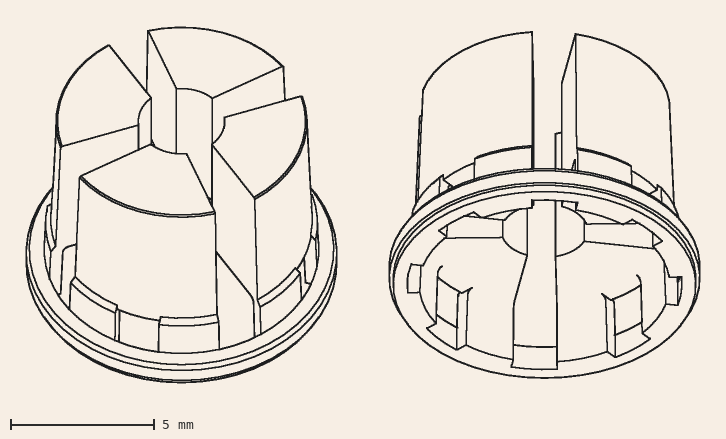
import cadquery as cq
import math

height = 7.8
rim_height = 0.99
rim_step_height = 0.28
roof_height = 2.38
shoulder_height = 2.6

rim_radius = 5.4
rim_step_radius = 5.25
rim_bore_radius = 4.77
rim_bevel_width = 0.11
rim_bevel_height = 0.18

draft = math.tan(math.radians(2))
bore_radius = 1.5
top_radius = 4.36
top_edge_bevel = 0.05
leg_thickness = 0.45
leg_root_fillet = 0.2

slot_mouth_width = 1.61
slot_half_angle = 5.4
window_width = 1.6

segment_shoulder_radius = top_radius + draft * (height - shoulder_height)
leg_radius_at_roof = rim_bore_radius - draft * (roof_height - rim_height)
leg_foot_radius = rim_bore_radius + draft * rim_height


def revolve_profile(points):
    """Revolve (radius, height) points about the Z axis."""
    return cq.Workplane("XZ").polyline(points).close().revolve(360, (0, 0, 0), (0, 1, 0))


def make_rim():
    return revolve_profile([
        (rim_bore_radius, 0),
        (rim_step_radius, 0),
        (rim_step_radius, rim_step_height),
        (rim_radius, rim_step_height),
        (rim_radius, rim_height - rim_bevel_height),
        (rim_radius - rim_bevel_width, rim_height),
        (rim_bore_radius, rim_height),
    ])


def make_segment_body():
    """Plug with a central bore, drafted above a short straight band at the shoulder."""
    return revolve_profile([
        (bore_radius, roof_height),
        (segment_shoulder_radius, roof_height),
        (segment_shoulder_radius, shoulder_height),
        (top_radius, height - top_edge_bevel),
        (top_radius - top_edge_bevel, height),
        (bore_radius, height),
    ])


def make_leg_wall():
    """Drafted wall from the rim to the shoulder bevel, with a root fillet under the roof."""
    inner_radius_at_roof = leg_radius_at_roof - leg_thickness
    inner_foot_radius = leg_foot_radius - leg_thickness
    fillet_start = inner_radius_at_roof + draft * leg_root_fillet
    fillet_mid_offset = leg_root_fillet * (1 - math.sqrt(0.5))
    profile = (
        cq.Workplane("XZ")
        .moveTo(inner_foot_radius, 0)
        .lineTo(leg_foot_radius, 0)
        .lineTo(leg_radius_at_roof, roof_height)
        .lineTo(segment_shoulder_radius, shoulder_height)
        .lineTo(inner_radius_at_roof - leg_root_fillet, shoulder_height)
        .lineTo(inner_radius_at_roof - leg_root_fillet, roof_height)
        .threePointArc(
            (inner_radius_at_roof - fillet_mid_offset, roof_height - fillet_mid_offset),
            (fillet_start, roof_height - leg_root_fillet),
        )
        .close()
    )
    return profile.revolve(360, (0, 0, 0), (0, 1, 0))


def make_window(angle):
    """Opening that splits a leg in two, leaving the segment above it whole."""
    return (
        cq.Workplane("XY")
        .center(rim_bore_radius, 0)
        .rect(rim_bore_radius, window_width)
        .extrude(shoulder_height)
        .rotate((0, 0, 0), (0, 0, 1), angle)
    )


def make_slot(angle):
    """Full-height slot that widens outwards from the bore."""
    flare = math.tan(math.radians(slot_half_angle))
    half_mouth = slot_mouth_width / 2
    inner_half_width = half_mouth - flare * rim_bore_radius
    outer_half_width = half_mouth + flare * (rim_radius - rim_bore_radius)
    return (
        cq.Workplane("XY")
        .polyline([
            (0, -inner_half_width),
            (rim_radius, -outer_half_width),
            (rim_radius, outer_half_width),
            (0, inner_half_width),
        ])
        .close()
        .extrude(height)
        .rotate((0, 0, 0), (0, 0, 1), angle)
    )


quarter_turns = [0, 90, 180, 270]

legs = make_leg_wall()
for turn in quarter_turns:
    legs = legs.cut(make_window(turn))

plug = make_segment_body().union(legs)
for turn in quarter_turns:
    plug = plug.cut(make_slot(turn + 45))

result = plug.union(make_rim())